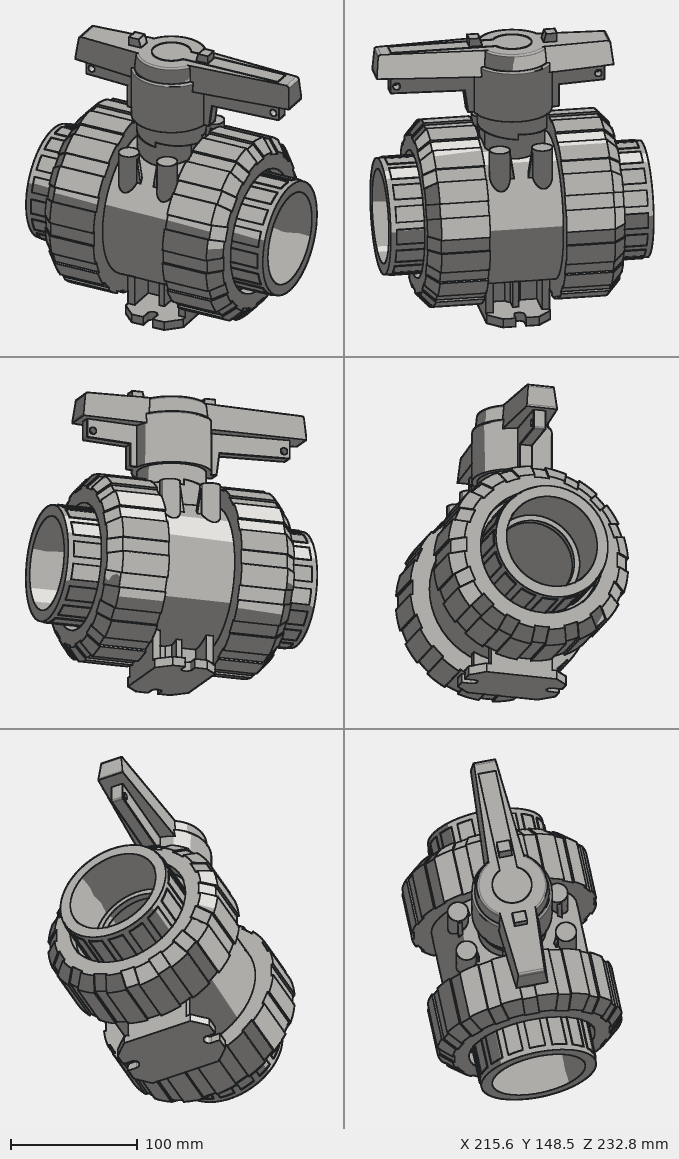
import cadquery as cq
import math


axis_z = 85.2
bore_r = 32.4

nut_inner_x = 30.7
nut_outer_x = 79.2
nut_r = 74.5
nut_chamfer_length = 9.5
nut_chamfer_depth = 10.2
nut_face_hole_r = 50.8
nut_shoulder_x = 67.5
groove_count = 16
groove_width = 11.6
groove_depth = 1.9
cut_through_r = 81.5

body_r = 58.7
body_end_x = 55.9

connector_end_x = 105.5
connector_r = 46.3
socket_mouth_r = 37.5
socket_root_r = 36.8
socket_depth = 44.2
pad_count = 16
pad_width = 12.5
pad_height = 0.7
pad_end_margin = 4.7

neck_r = 27.0
neck_half_x = 24.0
collar_r = 27.5
collar_low_z = 153.5
ramp_rise = 4.5
ramp_count = 4
ramp_cutter_width = 18.6

post_x = 17.0
post_y = 40.0
post_r = 8.1
post_top_z = 150.9
gusset_width = 3.5
gusset_top_z = 147.1
gusset_low_z = 126.2
gusset_reach = 3.3
neck_gusset_angle = 108

foot_half_x = 25.5
foot_half_y = 40.3
foot_thickness = 7.2
foot_corner = 11.2
foot_slot_r = 4.2
foot_slot_depth = 11.6
foot_end_rib_half_y = 25.4
foot_end_rib_thickness = 6.0
foot_middle_rib_half_y = 16.8
foot_middle_rib_thickness = 4.7
foot_wall_thickness = 4.7
foot_boss_r = 6.5

hub_r = 31.7
hub_bottom_z = 170.5
hub_top_z = 212.5
hub_edge_fillet = 1.5
drum_bottom_r = 29.3
drum_top_r = 27.7
drum_edge_fillet = 1.6
arm_top_z = 225.8
arm_root_z = 204.5
arm_tip_z = 206.0
arm_root_x = 28.0
arm_mid_half_y = 18.2
arm_side_draft = 6.5
arm_tip_fillet = 2.3
arm_tip_lip = 1.9
short_arm_x = -79.2
short_arm_top_x = -76.8
short_arm_half_y = 12.8
long_arm_x = 110.1
long_arm_top_x = 108.7
long_arm_half_y = 11.0
web_half_y = 5.1
web_edge_chamfer = 0.5
web_corner_fillet = 1.5
web_short_x = -73.5
web_long_x = 98.5
web_top_z = 208.4
web_tip_z = 190.7
web_root_z = 189.0
fin_short_x = -37.0
fin_long_top_x = 38.9
fin_long_bottom_x = 36.3
lock_hole_r = 2.8
lock_hole_inset = 5.1
lock_hole_z = 196.5
plaque_height = 0.5
plaque_r = 15.5
plaque_half_y = 7.0
plaque_end_x = 98.3
knob_outer_x = 35.2
knob_inner_top_x = 26.5
knob_inner_x = 24.5
knob_half_y = 5.1
knob_top_z = 232.8


def turned(points):
    """Revolve (x, radius) points about the flow axis."""
    profile = cq.Workplane("XY").polyline(points).close()
    return profile.revolve(360, (0, 0), (1, 0)).translate((0, 0, axis_z))


def box(x0, x1, y0, y1, z0, z1):
    return cq.Workplane("XY").box(x1 - x0, y1 - y0, z1 - z0, centered=False).translate((x0, y0, z0))


def upright(radius, z0, z1, x=0, y=0):
    return cq.Workplane("XY", origin=(x, y, z0)).circle(radius).extrude(z1 - z0)


def plate_xz(points, half_y):
    """Extrude an (x, z) outline to both sides of Y = 0."""
    return cq.Workplane("XZ").polyline(points).close().extrude(half_y, both=True)


def bars_around_axis(count, width, x0, x1, outer_r):
    """Radial bars from the flow axis outwards, evenly spaced, the first along -Y."""
    bars = []
    for i in range(count):
        bar = box(x0, x1, -width / 2, width / 2, axis_z, axis_z + outer_r)
        bars.append(bar.rotate((0, 0, axis_z), (1, 0, axis_z), 90 + i * 360 / count).val())
    return cq.Workplane("XY").newObject([cq.Compound.makeCompound(bars)])



def nut_ring():
    """Nut bored for the housing, with a shoulder at its chamfered outer end."""
    return turned([
        (nut_inner_x, body_r),
        (nut_inner_x, nut_r),
        (nut_outer_x - nut_chamfer_length, nut_r),
        (nut_outer_x, nut_r - nut_chamfer_depth),
        (nut_outer_x, nut_face_hole_r),
        (nut_shoulder_x, nut_face_hole_r),
        (nut_shoulder_x, body_r),
    ])


def nut_core():
    """Everything below the floor of the grip grooves."""
    floor_r = nut_r - groove_depth
    return turned([
        (nut_inner_x, 0),
        (nut_inner_x, floor_r),
        (nut_outer_x - nut_chamfer_length, floor_r),
        (nut_outer_x, floor_r - nut_chamfer_depth),
        (nut_outer_x, 0),
    ])


def make_nut():
    grooves = bars_around_axis(groove_count, groove_width, nut_inner_x, nut_outer_x, cut_through_r)
    return nut_ring().cut(grooves.cut(nut_core()))



def make_connector():
    """Socket with a flange held between the nut's shoulder and the housing."""
    socket_x = connector_end_x - socket_depth
    connector = turned([
        (body_end_x, bore_r),
        (body_end_x, body_r),
        (nut_shoulder_x, body_r),
        (nut_shoulder_x, connector_r),
        (connector_end_x, connector_r),
        (connector_end_x, socket_mouth_r),
        (socket_x, socket_root_r),
        (socket_x, bore_r),
    ])
    pad_end_x = connector_end_x - pad_end_margin
    pad_r = connector_r + pad_height
    pad_ring = turned([
        (nut_shoulder_x, connector_r - pad_height),
        (nut_shoulder_x, pad_r),
        (pad_end_x, pad_r),
        (pad_end_x, connector_r - pad_height),
    ])
    bars = bars_around_axis(pad_count, pad_width, nut_shoulder_x, pad_end_x, cut_through_r)
    return connector.union(pad_ring.intersect(bars))



def make_neck():
    """Neck with flats on its X sides under a collar whose lower edge has quarter-turn ramps."""
    neck = upright(neck_r, axis_z, hub_bottom_z)
    neck = neck.intersect(box(-neck_half_x, neck_half_x, -neck_r, neck_r, axis_z, hub_bottom_z))
    collar = upright(collar_r, collar_low_z, hub_bottom_z)
    cutter_r = (collar_r + neck_half_x) / 2
    for i in range(ramp_count):
        path = cq.Wire.makeHelix(ramp_count * ramp_rise, ramp_rise, cutter_r, lefthand=True)
        section = cq.Workplane("XZ", origin=(cutter_r, 0, -ramp_rise))
        section = section.rect(ramp_cutter_width, 2 * ramp_rise)
        ramp = section.sweep(cq.Workplane(path), isFrenet=True)
        ramp = ramp.translate((0, 0, collar_low_z)).rotate((0, 0, 0), (0, 0, 1), i * 360 / ramp_count)
        collar = collar.cut(ramp)
    return neck.union(collar)


def make_post():
    """Post at +X +Y with one gusset towards -X and one towards the neck."""
    post = upright(post_r, axis_z, post_top_z, post_x, post_y)
    gusset = plate_xz([
        (0, axis_z),
        (0, gusset_top_z),
        (post_r, gusset_top_z),
        (post_r + gusset_reach, gusset_low_z),
        (post_r + gusset_reach, axis_z),
    ], gusset_width / 2)
    for angle in (180, neck_gusset_angle - 180):
        post = post.union(gusset.rotate((0, 0, 0), (0, 0, 1), angle).translate((post_x, post_y, 0)))
    return post


def make_foot():
    """Slotted base plate carried by three ribs, a wall and a boss."""
    foot = box(-foot_half_x, foot_half_x, -foot_half_y, foot_half_y, 0, foot_thickness)
    foot = foot.edges("|Z").chamfer(foot_corner)
    for side in (-1, 1):
        slot_end_y = side * (foot_half_y - foot_slot_depth + foot_slot_r)
        y0, y1 = sorted((slot_end_y, side * foot_half_y))
        foot = foot.cut(box(-foot_slot_r, foot_slot_r, y0, y1, 0, foot_thickness))
        foot = foot.cut(upright(foot_slot_r, 0, foot_thickness, 0, slot_end_y))
    rib_top_z = axis_z - bore_r
    rib_inner_x = foot_half_x - foot_end_rib_thickness
    middle_half_x = foot_middle_rib_thickness / 2
    ribs = (
        (-foot_half_x, -rib_inner_x, foot_end_rib_half_y),
        (-middle_half_x, middle_half_x, foot_middle_rib_half_y),
        (rib_inner_x, foot_half_x, foot_end_rib_half_y),
        (-foot_half_x, foot_half_x, foot_wall_thickness / 2),
    )
    for x0, x1, half_y in ribs:
        foot = foot.union(box(x0, x1, -half_y, half_y, 0, rib_top_z))
    return foot.union(upright(foot_boss_r, 0, rib_top_z))


def make_housing():
    housing = turned([(-body_end_x, 0), (-body_end_x, body_r), (body_end_x, body_r), (body_end_x, 0)])
    housing = housing.union(make_neck()).union(make_foot())
    post = make_post()
    for half in (post, post.mirror("YZ")):
        housing = housing.union(half).union(half.mirror("XZ"))
    bore = turned([(-body_end_x, 0), (-body_end_x, bore_r), (body_end_x, bore_r), (body_end_x, 0)])
    return housing.cut(bore)



def make_hub():
    hub = upright(hub_r, hub_bottom_z, hub_top_z).faces(">Z").edges().fillet(hub_edge_fillet)
    drum = (
        cq.Workplane("XY", origin=(0, 0, hub_top_z)).circle(drum_bottom_r)
        .workplane(offset=arm_top_z - hub_top_z).circle(drum_top_r).loft()
        .faces(">Z").edges().fillet(drum_edge_fillet)
    )
    return hub.union(drum)


def make_arms():
    """Short and long arm, narrowing to their tips and upwards."""
    side_shape = plate_xz([
        (short_arm_x, arm_tip_z),
        (-arm_root_x, arm_root_z),
        (arm_root_x, arm_root_z),
        (long_arm_x, arm_tip_z),
        (long_arm_x, arm_tip_z + arm_tip_lip),
        (long_arm_top_x, arm_top_z),
        (short_arm_top_x, arm_top_z),
        (short_arm_x, arm_tip_z + arm_tip_lip),
    ], arm_mid_half_y)
    side_shape = side_shape.faces(">Z").edges("|Y").fillet(arm_tip_fillet)
    inset = math.tan(math.radians(arm_side_draft)) * (arm_top_z - arm_root_z)

    def outline(shift, z):
        return (
            cq.Workplane("XY", origin=(0, 0, z)).polyline([
                (short_arm_x, short_arm_half_y - shift),
                (0, arm_mid_half_y - shift),
                (long_arm_x, long_arm_half_y - shift),
                (long_arm_x, shift - long_arm_half_y),
                (0, shift - arm_mid_half_y),
                (short_arm_x, shift - short_arm_half_y),
            ]).close().wires().val()
        )

    plan_shape = cq.Solid.makeLoft([outline(0, arm_root_z), outline(inset, arm_top_z)], True)
    return side_shape.intersect(cq.Workplane(plan_shape))


def make_web():
    """Plate below the arms, with a fin down each side of the hub and a lock hole near each tip."""
    web = plate_xz([
        (web_short_x, web_top_z),
        (web_short_x, web_tip_z),
        (fin_short_x, web_root_z),
        (fin_short_x, hub_bottom_z),
        (fin_long_bottom_x, hub_bottom_z),
        (fin_long_top_x, web_root_z),
        (web_long_x, web_tip_z),
        (web_long_x, web_top_z),
    ], web_half_y)
    corners = [(web_short_x, web_tip_z), (fin_short_x, hub_bottom_z)]
    corners += [(fin_long_bottom_x, hub_bottom_z), (web_long_x, web_tip_z)]
    for x, z in corners:
        web = web.edges(cq.NearestToPointSelector((x, 0, z))).fillet(web_corner_fillet)
    web = web.faces("<Y or >Y").edges().chamfer(web_edge_chamfer)
    for x in (web_short_x + lock_hole_inset, web_long_x - lock_hole_inset):
        hole = cq.Workplane("XZ", origin=(x, 0, lock_hole_z)).circle(lock_hole_r)
        web = web.cut(hole.extrude(web_half_y, both=True))
    return web


def make_plaque():
    """Thin raised disc and bar on top of the long arm."""
    top_z = arm_top_z + plaque_height
    disc = upright(plaque_r, arm_top_z, top_z)
    return disc.union(box(0, plaque_end_x, -plaque_half_y, plaque_half_y, arm_top_z, top_z))


def make_knob():
    return plate_xz([
        (knob_inner_x, arm_top_z),
        (knob_inner_top_x, knob_top_z),
        (knob_outer_x, knob_top_z),
        (knob_outer_x, arm_top_z),
    ], knob_half_y)


def make_handle():
    handle = make_hub().union(make_arms()).union(make_web()).union(make_plaque())
    knob = make_knob()
    return handle.union(knob).union(knob.mirror("YZ"))


housing = make_housing()
handle = make_handle()
end_parts = []
for make_part in (make_nut, make_connector):
    part = make_part()
    end_parts += [part.val(), part.mirror("YZ").val()]

result = cq.Compound.makeCompound([housing.val(), handle.val(), *end_parts])